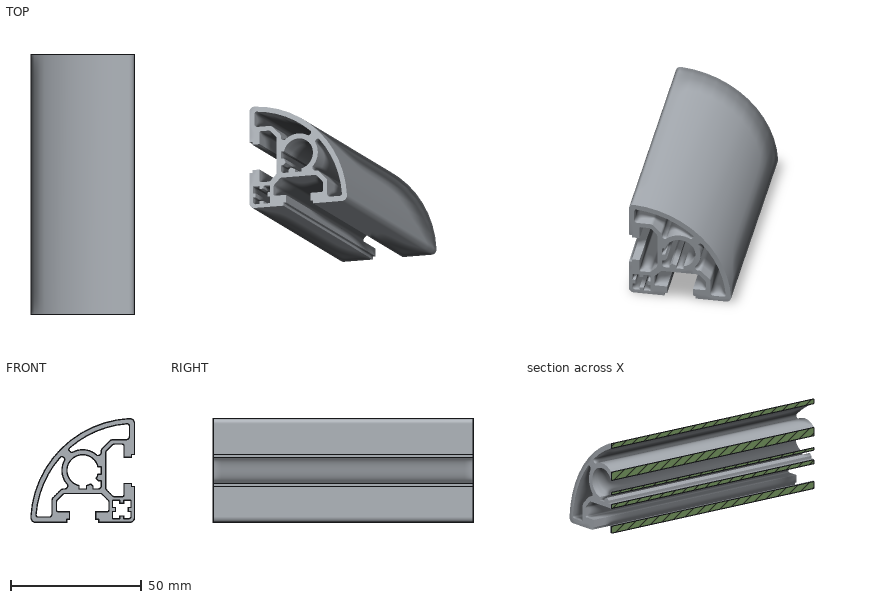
import cadquery as cq
import math


LENGTH = 100.0
SIZE = 40.0
HALF = SIZE / 2
CORNER_RADIUS = 2.0
SKIN = 2.0
SIDE_WALL = 2.1
INNER_WALL = 1.8

OPENING_WIDTH = 12.2
OPENING_DEPTH = 1.2
THROAT_WIDTH = 10.0
LIP_DEPTH = 4.2
CAVITY_WIDTH = 20.1
SLOT_DEPTH = 11.1
CAVITY_CHAMFER = 2.8
CAVITY_FILLET = 0.5
CHAMFER_FILLET = 1.2

BORE_RADIUS = 6.0
RING_RADIUS = 8.0
BORE_NOTCH_WIDTH = 2.8
BORE_CORNER_START = 4.05
BORE_CORNER_FILLET = 1.2
TOOTH_FLAT = 1.0
TOOTH_SLOPE = 1.0

WEB_WIDTH = 3.4
POCKET_FLOOR = 5.8
POCKET_TIP_FILLET = 0.8
POCKET_WALL_FILLET = 1.1
POCKET_BEND_RADIUS = 1.6

HOLLOW_WIDTH = 7.0
HOLLOW_WALL = 1.45
HOLLOW_FILLET = 1.0
RIB_WIDTH = 1.65
RIB_HEIGHT = 1.1

SLOT_FLOOR = HALF - SLOT_DEPTH
BORE_FLAT = SLOT_FLOOR - INNER_WALL
DIAGONAL_NORMAL = cq.Vector(1, 0, 1)


def section():
    return cq.Workplane("XZ")


def prism(sketch):
    return sketch.extrude(LENGTH / 2, both=True)


def polygon(points):
    return prism(section().polyline(points).close())


def cylinder(x, z, radius):
    return prism(section().center(x, z).circle(radius))


def block(x, z, width, height):
    return prism(section().center(x, z).rect(width, height))


def across_diagonal(body):
    return body.mirror(DIAGONAL_NORMAL)


def round_edges(body, corners, radius):
    """Round the lengthwise edges that pass through the given section points."""
    edges = body.edges("|Y")
    picked = [min(edges.vals(), key=lambda e: math.dist((e.Center().x, e.Center().z), c)) for c in corners]
    return body.newObject(picked).fillet(radius)


def outer_body():
    """Quarter round with all three corners rounded."""
    quarter = cylinder(HALF, -HALF, SIZE).intersect(block(0, 0, SIZE, SIZE))
    return quarter.edges("|Y").fillet(CORNER_RADIUS)


def t_slot():
    """T-slot void opening on the +X face."""
    cavity_half = CAVITY_WIDTH / 2
    lip = HALF - LIP_DEPTH
    shoulder = SLOT_FLOOR + CAVITY_CHAMFER
    floor_half = cavity_half - CAVITY_CHAMFER
    cavity = polygon([
        (lip, -cavity_half),
        (lip, cavity_half),
        (shoulder, cavity_half),
        (SLOT_FLOOR, floor_half),
        (SLOT_FLOOR, -floor_half),
        (shoulder, -cavity_half),
    ])
    ends = (-1, 1)
    lip_corners = [(lip, end * cavity_half) for end in ends]
    chamfer_corners = [(shoulder, end * cavity_half) for end in ends]
    chamfer_corners += [(SLOT_FLOOR, end * floor_half) for end in ends]
    cavity = round_edges(cavity, lip_corners, CAVITY_FILLET)
    cavity = round_edges(cavity, chamfer_corners, CHAMFER_FILLET)
    throat = block((SLOT_FLOOR + HALF) / 2, 0, SLOT_DEPTH, THROAT_WIDTH)
    opening = block(HALF - OPENING_DEPTH / 2, 0, OPENING_DEPTH, OPENING_WIDTH)
    return cavity.union(throat).union(opening)


def pocket():
    """Hollow above the bore, between the round wall and the slot wall."""
    shelf = CAVITY_WIDTH / 2 + INNER_WALL
    side = HALF - SIDE_WALL
    chamfer = CAVITY_CHAMFER + INNER_WALL * (2 - math.sqrt(2))
    inner_radius = SIZE - SKIN
    half_web = WEB_WIDTH / 2

    def web_point(distance):
        """Point on the web's flank at a distance from the bore axis along the diagonal."""
        return ((half_web - distance) / math.sqrt(2), (half_web + distance) / math.sqrt(2))

    wall_bends = [(BORE_FLAT, shelf - chamfer), (BORE_FLAT + chamfer, shelf)]
    outline = polygon([
        (BORE_FLAT, POCKET_FLOOR),
        *wall_bends,
        (side, shelf),
        (side, HALF),
        web_point(SIZE / 2),
        web_point(POCKET_FLOOR),
        (0, POCKET_FLOOR),
    ])
    void = outline.intersect(cylinder(HALF, -HALF, inner_radius)).cut(cylinder(0, 0, RING_RADIUS))
    web_at_ring = web_point(math.sqrt(RING_RADIUS**2 - half_web**2))
    web_at_skin = web_point(math.sqrt(inner_radius**2 - half_web**2) - HALF * math.sqrt(2))
    top_corner = (side, math.sqrt(inner_radius**2 - SIDE_WALL**2) - HALF)
    void = round_edges(void, [top_corner, web_at_ring, web_at_skin], POCKET_TIP_FILLET)
    void = round_edges(void, [(BORE_FLAT, POCKET_FLOOR), (side, shelf)], POCKET_WALL_FILLET)
    return round_edges(void, wall_bends, POCKET_BEND_RADIUS)


def bore():
    """Round bore with two flat notches and a square relief toward the profile's corner."""
    tooth_turn = BORE_FLAT - TOOTH_FLAT
    upper_half = [
        (BORE_FLAT, -BORE_CORNER_START),
        (tooth_turn, -BORE_CORNER_START),
        (tooth_turn - TOOTH_SLOPE, TOOTH_SLOPE - BORE_CORNER_START),
    ]
    lower_half = [(-z, -x) for x, z in reversed(upper_half)]
    corner = (BORE_FLAT, -BORE_FLAT)
    relief = round_edges(polygon([*upper_half, *lower_half, corner]), [corner], BORE_CORNER_FILLET)
    notch = block(BORE_FLAT / 2, 0, BORE_FLAT, BORE_NOTCH_WIDTH)
    return cylinder(0, 0, BORE_RADIUS).union(relief).union(notch).union(across_diagonal(notch))


def corner_hollow():
    """Square hollow with a short rib in the middle of each side."""
    center = HALF - HOLLOW_WALL - HOLLOW_WIDTH / 2
    void = block(center, -center, HOLLOW_WIDTH, HOLLOW_WIDTH)
    outer = HALF - HOLLOW_WALL
    void = round_edges(void, [(outer, -outer)], HOLLOW_FILLET)
    rib_offset = (HOLLOW_WIDTH - RIB_HEIGHT) / 2
    for side in (-1, 1):
        void = void.cut(block(center + side * rib_offset, -center, RIB_HEIGHT, RIB_WIDTH))
        void = void.cut(block(center, -center + side * rib_offset, RIB_WIDTH, RIB_HEIGHT))
    return void


result = outer_body()
for void in (t_slot(), pocket()):
    result = result.cut(void).cut(across_diagonal(void))
result = result.cut(bore()).cut(corner_hollow())